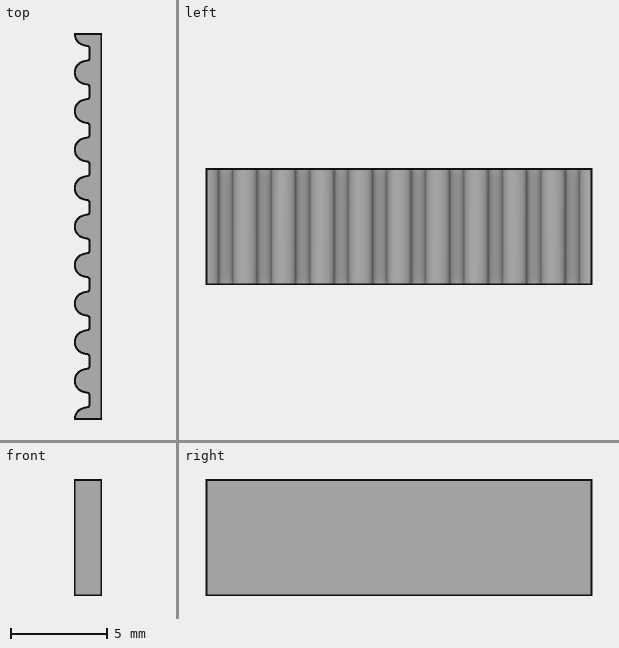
import cadquery as cq
import math

pitch = 2.0
tooth_spaces = 10
length = pitch * tooth_spaces
thickness = 1.38
width = 6.0

tooth_height = 0.75
tip_radius = 0.6
flank_radius = 1.0
root_fillet = 0.11

tip_x = -thickness / 2
root_x = tip_x + tooth_height
tip_center_x = tip_x + tip_radius

flank_offset = math.sqrt((flank_radius - tip_radius) ** 2 - (root_x - tip_center_x) ** 2)
blend_angle = math.atan2(root_x - tip_center_x, flank_offset)

fillet_center_x = root_x - root_fillet
fillet_angle = math.asin(root_fillet / (flank_radius + root_fillet))
fillet_center_y = (flank_radius + root_fillet) * math.cos(fillet_angle) - flank_offset


def tip_point(angle):
    """Point on the tip arc as (x, distance from tooth axis); angle is from the Y direction."""
    return tip_center_x - tip_radius * math.sin(angle), tip_radius * math.cos(angle)


def flank_point(angle):
    """Point on the flank arc, given the same way."""
    return root_x - flank_radius * math.sin(angle), flank_radius * math.cos(angle) - flank_offset


def fillet_point(angle):
    """Point on the root fillet; angle is measured from the tooth-side direction towards the root."""
    return (
        fillet_center_x + root_fillet * math.sin(angle),
        fillet_center_y - root_fillet * math.cos(angle),
    )


def make_tooth_space(center_y):
    """Solid filling the gap between two neighbouring teeth."""
    half_pitch = pitch / 2

    def lower(point):
        return point[0], center_y - half_pitch + point[1]

    def upper(point):
        return point[0], center_y + half_pitch - point[1]

    tip_middle = tip_point((math.pi / 2 + blend_angle) / 2)
    flank_middle = flank_point((blend_angle + fillet_angle) / 2)
    fillet_middle = fillet_point((fillet_angle + math.pi / 2) / 2)
    tip_start = (tip_x, 0)
    flank_start = flank_point(blend_angle)
    fillet_start = flank_point(fillet_angle)
    root_start = fillet_point(math.pi / 2)

    return (
        cq.Workplane("XY")
        .moveTo(*lower(tip_start))
        .threePointArc(lower(tip_middle), lower(flank_start))
        .threePointArc(lower(flank_middle), lower(fillet_start))
        .threePointArc(lower(fillet_middle), lower(root_start))
        .lineTo(*upper(root_start))
        .threePointArc(upper(fillet_middle), upper(fillet_start))
        .threePointArc(upper(flank_middle), upper(flank_start))
        .threePointArc(upper(tip_middle), upper(tip_start))
        .close()
        .extrude(width / 2, both=True)
    )


result = cq.Workplane("XY").box(thickness, length, width)
for index in range(tooth_spaces):
    result = result.cut(make_tooth_space((index + 0.5) * pitch - length / 2))